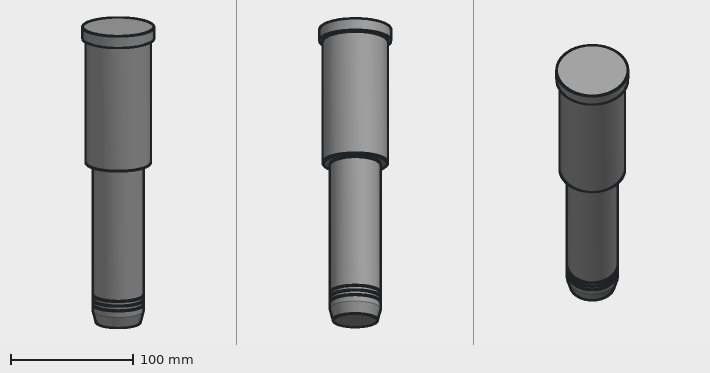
import cadquery as cq

total_length = 251.0
head_diameter = 59.0
head_height = 10.0
body_diameter = 54.0
head_and_body_length = 116.0
shank_diameter = 42.0

tip_diameter = 36.6
tip_height = 10.0
tip_edge_chamfer = 0.5

head_chamfer = 0.5
body_chamfer = 1.0
relief_width = 1.0
relief_depth = 0.3

groove_count = 3
groove_width = 1.0
groove_depth = 0.5
groove_pitch = 4.0
lowest_groove_height = 15.5

head_bottom = total_length - head_height
body_bottom = total_length - head_and_body_length


def cylinder(diameter, bottom, top):
    return cq.Workplane("XY").workplane(offset=bottom).circle(diameter / 2).extrude(top - bottom)


def make_head():
    return cylinder(head_diameter, head_bottom, total_length).faces(">Z").edges().chamfer(head_chamfer)


def make_body():
    return cylinder(body_diameter, body_bottom, head_bottom).faces("<Z").edges().chamfer(body_chamfer)


def make_shank():
    """Shank with a conical lead-in, revolved about Z."""
    shank_radius = shank_diameter / 2
    tip_radius = tip_diameter / 2
    profile = (
        cq.Workplane("XZ")
        .lineTo(tip_radius, 0)
        .lineTo(shank_radius, tip_height)
        .lineTo(shank_radius, body_bottom)
        .lineTo(0, body_bottom)
        .close()
    )
    shank = profile.revolve(360, (0, 0, 0), (0, 1, 0))
    return shank.faces("<Z").edges().chamfer(tip_edge_chamfer)


def make_relief_ring(diameter, shoulder_height):
    """Ring that thins a cylinder of the given diameter just below a shoulder."""
    bottom = shoulder_height - relief_width
    core = cylinder(diameter - 2 * relief_depth, bottom, shoulder_height)
    return cylinder(head_diameter, bottom, shoulder_height).cut(core)


def make_groove_ring(center_height):
    """Ring with a triangular section whose point reaches into the shank."""
    shank_radius = shank_diameter / 2
    section = cq.Workplane("XZ").polyline([
        (shank_radius - groove_depth, center_height),
        (shank_radius + groove_depth, center_height - groove_width),
        (shank_radius + groove_depth, center_height + groove_width),
    ])
    return section.close().revolve(360, (0, 0, 0), (0, 1, 0))


result = make_head().union(make_body()).union(make_shank())
result = result.cut(make_relief_ring(body_diameter, head_bottom))
result = result.cut(make_relief_ring(shank_diameter, body_bottom))
for index in range(groove_count):
    result = result.cut(make_groove_ring(lowest_groove_height + index * groove_pitch))